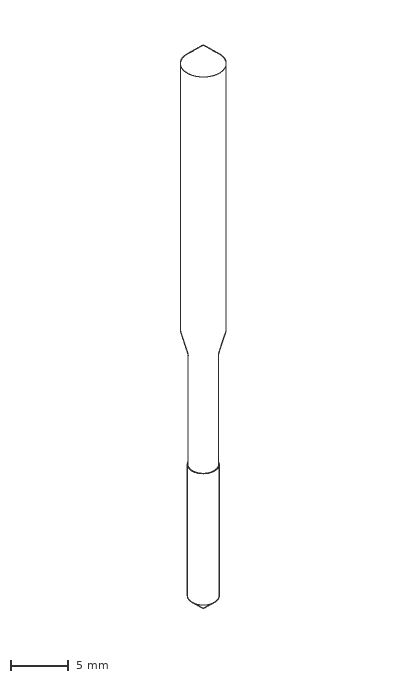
import cadquery as cq

total_length = 60.4
shank_radius = 2.0
neck_radius = 1.3
head_radius = 1.4

head_top = 15.45
taper_bottom = 27.35
taper_top = 29.9

head_cone_top = head_radius
shank_cone_bottom = total_length - shank_radius

profile = [
    (0, 0),
    (head_radius, head_cone_top),
    (head_radius, head_top),
    (neck_radius, head_top),
    (neck_radius, taper_bottom),
    (shank_radius, taper_top),
    (shank_radius, shank_cone_bottom),
    (0, total_length),
]

result = cq.Workplane("XZ").polyline(profile).close().revolve(360, (0, 0, 0), (0, 1, 0))